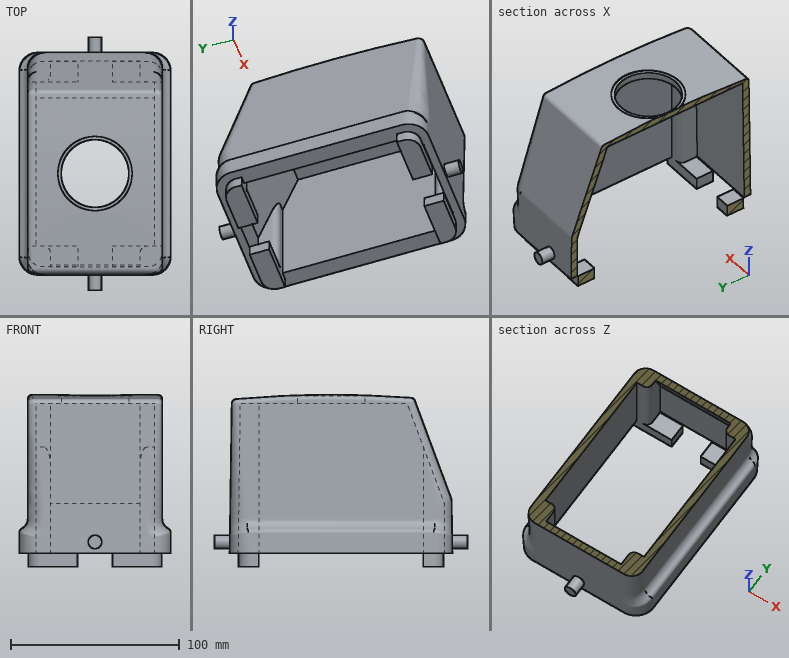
import math

import cadquery as cq

RIM_TOP_Z = 12.0
FLARE_TOP_Z = 20.3
REAR_BEND_Z = 31.8
CROWN_Z = 94.0
FOOT_HEIGHT = 8.0

RIM_HALF_WIDTH = 45.0
BODY_HALF_WIDTH = 40.0
HALF_LENGTH = 66.1
END_DRAFT_ANGLE = math.radians(0.8)
REAR_SLOPE_ANGLE = math.radians(20.4)
END_DRAFT = math.tan(END_DRAFT_ANGLE)
REAR_SLOPE = math.tan(REAR_SLOPE_ANGLE)
REAR_BEND_RADIUS = 8.0
CROWN_RADIUS = 630.0
TOP_FILLET = 3.0
SIDES = (-1, 1)

FLARE_RISE = FLARE_TOP_Z - RIM_TOP_Z
FLARE_STEP = RIM_HALF_WIDTH - BODY_HALF_WIDTH
FLARE_ANGLE = 2 * math.atan(FLARE_STEP / FLARE_RISE)
SHOULDER_RADIUS = 3.1
HOLLOW_RADIUS = FLARE_RISE / math.sin(FLARE_ANGLE) - SHOULDER_RADIUS
SHOULDER_END_Z = RIM_TOP_Z + SHOULDER_RADIUS * math.sin(FLARE_ANGLE)

RIM_FOOT_CORNER = 12.6
RIM_TOP_CORNER = 11.3
SHOULDER_CORNER = 10.4
BODY_CORNER = 10.2
CROWN_CORNER = 3.15
CORNER_TOP_Z = CROWN_Z + 3.0
CUTTER_REACH = 30.0
SHOULDER_START_END_Z = 9.4
SHOULDER_STOP_END_Z = 10.0
FLARE_SECTIONS = 4
BEND_SECTIONS = 3

ENTRY_Y = -5.8
ENTRY_DIAMETER = 40.0
ENTRY_SEAT_DIAMETER = 44.0
ENTRY_SEAT_DEPTH = 0.5

WALL = 5.0
CAVITY_HALF_WIDTH = BODY_HALF_WIDTH - WALL
POST_WIDTH = 8.4
POST_ROUNDING = 4.0

FOOT_OUTER_X = 39.6
FOOT_INNER_X = 10.3
FOOT_OUTER_Y = 60.8
FOOT_INNER_Y = 48.7
FOOT_ROUNDING = 8.2

PIN_DIAMETER = 8.0
PIN_TIP_Y = 75.0
PIN_Z = 6.7
PIN_ROOT_Y = HALF_LENGTH - WALL

REAR_BEND_Y = HALF_LENGTH - END_DRAFT * REAR_BEND_Z
BEND_ANGLE = REAR_SLOPE_ANGLE - END_DRAFT_ANGLE
BEND_TANGENT = REAR_BEND_RADIUS * math.tan(BEND_ANGLE / 2)
BEND_START_Z = REAR_BEND_Z - BEND_TANGENT * math.cos(END_DRAFT_ANGLE)
BEND_END_Z = REAR_BEND_Z + BEND_TANGENT * math.cos(REAR_SLOPE_ANGLE)


def between(start, stop, fraction):
    return start + (stop - start) * fraction


def front_y(z):
    """Distance of the front wall from the middle, at height z."""
    return HALF_LENGTH - END_DRAFT * z


def slope_y(z):
    """Distance of the sloping upper rear wall from the middle, at height z."""
    return REAR_BEND_Y - REAR_SLOPE * (z - REAR_BEND_Z)


def rear_y(z):
    """Distance of the rear wall from the middle, at height z, rounded at the bend."""
    if z <= BEND_START_Z:
        return front_y(z)
    if z >= BEND_END_Z:
        return slope_y(z)
    centre_y = front_y(BEND_START_Z) - REAR_BEND_RADIUS * math.cos(END_DRAFT_ANGLE)
    centre_z = BEND_START_Z - REAR_BEND_RADIUS * math.sin(END_DRAFT_ANGLE)
    return centre_y + math.sqrt(REAR_BEND_RADIUS**2 - (z - centre_z) ** 2)


def half_width(z):
    """Distance of the side walls from the middle, at height z."""
    if z <= RIM_TOP_Z:
        return RIM_HALF_WIDTH
    if z >= FLARE_TOP_Z:
        return BODY_HALF_WIDTH
    if z <= SHOULDER_END_Z:
        centre_x = RIM_HALF_WIDTH - SHOULDER_RADIUS
        return centre_x + math.sqrt(SHOULDER_RADIUS**2 - (z - RIM_TOP_Z) ** 2)
    centre_x = BODY_HALF_WIDTH + HOLLOW_RADIUS
    return centre_x - math.sqrt(HOLLOW_RADIUS**2 - (FLARE_TOP_Z - z) ** 2)


def body_corner(z):
    """Corner rounding of the body above the flare, at height z."""
    return between(BODY_CORNER, CROWN_CORNER, (z - FLARE_TOP_Z) / (CROWN_Z - FLARE_TOP_Z))


def lengthwise_block():
    """The lengthwise outline with its sloping rear and arched crown, as wide as the rim."""
    bend_middle_z = (BEND_START_Z + BEND_END_Z) / 2
    block = (
        cq.Workplane("YZ")
        .moveTo(-front_y(0), 0)
        .lineTo(rear_y(0), 0)
        .lineTo(rear_y(BEND_START_Z), BEND_START_Z)
        .threePointArc((rear_y(bend_middle_z), bend_middle_z), (rear_y(BEND_END_Z), BEND_END_Z))
        .lineTo(rear_y(CORNER_TOP_Z), CORNER_TOP_Z)
        .lineTo(-front_y(CORNER_TOP_Z), CORNER_TOP_Z)
        .close()
        .extrude(RIM_HALF_WIDTH, both=True)
    )
    crown = (
        cq.Workplane("YZ")
        .center(ENTRY_Y, CROWN_Z - CROWN_RADIUS)
        .circle(CROWN_RADIUS)
        .extrude(RIM_HALF_WIDTH, both=True)
    )
    return block.intersect(crown)


def crosswise_block():
    """The crosswise outline, flared at both sides, as long as the rim."""
    shoulder_middle_z = (RIM_TOP_Z + SHOULDER_END_Z) / 2
    hollow_middle_z = (SHOULDER_END_Z + FLARE_TOP_Z) / 2
    half_block = (
        cq.Workplane("XZ")
        .lineTo(RIM_HALF_WIDTH, 0)
        .lineTo(RIM_HALF_WIDTH, RIM_TOP_Z)
        .threePointArc(
            (half_width(shoulder_middle_z), shoulder_middle_z),
            (half_width(SHOULDER_END_Z), SHOULDER_END_Z),
        )
        .threePointArc(
            (half_width(hollow_middle_z), hollow_middle_z),
            (BODY_HALF_WIDTH, FLARE_TOP_Z),
        )
        .lineTo(BODY_HALF_WIDTH, CORNER_TOP_Z)
        .lineTo(0, CORNER_TOP_Z)
        .close()
        .extrude(HALF_LENGTH, both=True)
    )
    return half_block.union(half_block.mirror("YZ"))


def corner_section(side_z, end_z, radius, end_y, side, end):
    """Outline of the material outside one rounded corner, side_z high on the side wall."""
    width = half_width(side_z)
    length = end_y(end_z)
    inset = radius * (1 - math.sqrt(0.5))

    def place(x, y, z):
        return cq.Vector(side * x, end * y, z)

    on_side = place(width, length - radius, side_z)
    middle = place(width - inset, length - inset, (side_z + end_z) / 2)
    on_end = place(width - radius, length, end_z)
    outwards = place(CUTTER_REACH, CUTTER_REACH, 0)
    return cq.Wire.assembleEdges(
        [
            cq.Edge.makeThreePointArc(on_side, middle, on_end),
            cq.Edge.makeLine(on_end, on_end + outwards),
            cq.Edge.makeLine(on_end + outwards, on_side + outwards),
            cq.Edge.makeLine(on_side + outwards, on_side),
        ]
    )


def corner_cutters(end_y, side, end):
    """Cutters that round one upright corner, from the rim's foot to the crown."""
    rim_foot = (0, 0, RIM_FOOT_CORNER)
    rim_top = (RIM_TOP_Z, SHOULDER_START_END_Z, RIM_TOP_CORNER)
    shoulder_end = (SHOULDER_END_Z, SHOULDER_STOP_END_Z, SHOULDER_CORNER)
    flare_top = (FLARE_TOP_Z, FLARE_TOP_Z, BODY_CORNER)
    bend_start = (BEND_START_Z, BEND_START_Z, body_corner(BEND_START_Z))
    bend_end = (BEND_END_Z, BEND_END_Z, body_corner(BEND_END_Z))
    crown = (CORNER_TOP_Z, CORNER_TOP_Z, body_corner(CORNER_TOP_Z))

    stretches = [
        (rim_foot, rim_top, 1),
        (rim_top, shoulder_end, FLARE_SECTIONS),
        (shoulder_end, flare_top, FLARE_SECTIONS),
    ]
    if end_y is rear_y:
        stretches += [
            (flare_top, bend_start, 1),
            (bend_start, bend_end, BEND_SECTIONS),
            (bend_end, crown, 1),
        ]
    else:
        stretches.append((flare_top, crown, 1))

    cutters = []
    for lower, upper, steps in stretches:
        sections = []
        for step in range(steps + 1):
            level = [between(a, b, step / steps) for a, b in zip(lower, upper)]
            sections.append(corner_section(*level, end_y, side, end))
        cutters.append(cq.Solid.makeLoft(sections, steps == 1))
    return cutters


def shell():
    """The solid hood with rounded corners and a rounded top edge."""
    hood = lengthwise_block().intersect(crosswise_block())
    for side in SIDES:
        for end, end_y in ((-1, front_y), (1, rear_y)):
            for cutter in corner_cutters(end_y, side, end):
                hood = hood.cut(cq.Workplane(cutter))
    return hood.faces(">Z").edges().fillet(TOP_FILLET)


def cavity():
    """The hollow, open at the bottom, with the corner posts left standing."""
    inner_end = HALF_LENGTH - WALL
    ceiling_z = CROWN_Z - WALL
    slope_wall = WALL / math.cos(REAR_SLOPE_ANGLE)
    inner_bend_z = REAR_BEND_Z + (REAR_BEND_Y - slope_wall - inner_end) / REAR_SLOPE
    hollow = (
        cq.Workplane("YZ")
        .moveTo(-inner_end, 0)
        .lineTo(inner_end, 0)
        .lineTo(inner_end, inner_bend_z)
        .lineTo(slope_y(ceiling_z) - slope_wall, ceiling_z)
        .lineTo(-(front_y(ceiling_z) - WALL), ceiling_z)
        .close()
        .extrude(CAVITY_HALF_WIDTH, both=True)
    )
    post_depth = inner_end - FOOT_INNER_Y
    for side in SIDES:
        for end in SIDES:
            post = (
                cq.Workplane("XY")
                .center(side * CAVITY_HALF_WIDTH, end * inner_end)
                .rect(2 * POST_WIDTH, 2 * post_depth)
                .extrude(CROWN_Z)
                .edges("|Z")
                .fillet(POST_ROUNDING)
            )
            hollow = hollow.cut(post)
    return hollow


def cable_entry():
    """The round opening through the crown with its shallow seat."""
    seat_z = CROWN_Z - ENTRY_SEAT_DEPTH
    bore = cq.Workplane("XY").center(0, ENTRY_Y).circle(ENTRY_DIAMETER / 2).extrude(CORNER_TOP_Z)
    seat = (
        cq.Workplane("XY", origin=(0, ENTRY_Y, seat_z))
        .circle(ENTRY_SEAT_DIAMETER / 2)
        .extrude(CORNER_TOP_Z - seat_z)
    )
    return bore.union(seat)


def foot(side, end):
    """One foot under a corner, rounded on its outer corner."""
    width = FOOT_OUTER_X - FOOT_INNER_X
    depth = FOOT_OUTER_Y - FOOT_INNER_Y
    outer_x = "<X" if side < 0 else ">X"
    outer_y = "<Y" if end < 0 else ">Y"
    return (
        cq.Workplane("XY")
        .center(side * (FOOT_INNER_X + width / 2), end * (FOOT_INNER_Y + depth / 2))
        .rect(width, depth)
        .extrude(-FOOT_HEIGHT)
        .edges(f"|Z and {outer_x} and {outer_y}")
        .fillet(FOOT_ROUNDING)
    )


def pin(end):
    """One locking pin on an end wall."""
    return (
        cq.Workplane("XZ", origin=(0, end * PIN_ROOT_Y, PIN_Z))
        .circle(PIN_DIAMETER / 2)
        .extrude(-end * (PIN_TIP_Y - PIN_ROOT_Y))
    )


result = shell().cut(cavity()).cut(cable_entry())
for end in SIDES:
    result = result.union(pin(end))
    for side in SIDES:
        result = result.union(foot(side, end))